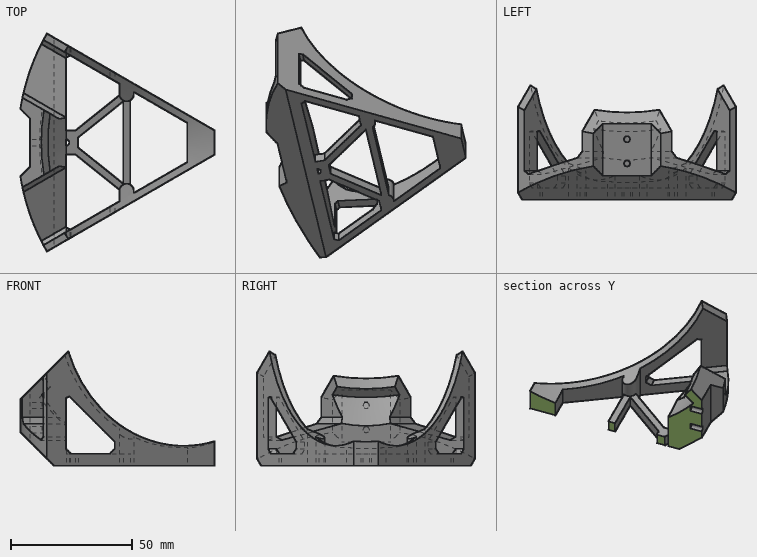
import cadquery as cq
import math

HALF_ANGLE = math.radians(30)
RIM_RADIUS = 90.0
NOSE_HALF_WIDTH = 5.0
WALL = 3.0
BLANK_HEIGHT = 60.0
OVERSIZE = 200.0

DISH_RADIUS = 60.0
DISH_X = -28.57
DISH_Z = 66.58

TOP_BEVEL_OFFSET = 15.0
BOTTOM_BEVEL_X = -75.0
TOP_BEVEL_X = DISH_X - DISH_Z - TOP_BEVEL_OFFSET * math.sqrt(2)

FLAT_X = -85.0
FLAT_HALF_WIDTH = 10.0
HOLE_DIAMETER = 2.5
SCREW_DEPTH = 5.0
SCREW_HEIGHTS = (15.0, 25.0)
BLOCK_BACK_X = -70.0
HOLLOW_DEPTH = 5.0
LIP_THICKNESS = 5.0

POCKET_FAR = 28.0
POCKET_WALL_Z = 10.0
POCKET_BLOCK_Z = 18.0
POCKET_CHAMFER = 2.0

NOSE_INNER_X = -20.0
CORNER_CHAMFER = 2.0
PLATE_HEIGHT = 5.0
STRUT_WIDTH = 3.0
COLUMN_X = -45.0
COLUMN_Y = 20.0
COLUMN_RADIUS = 3.0
HUB_SIZE = 10.0
WINDOW_END_X = -50.0
WINDOW_PEAK_Z = 30.0

TAN = math.tan(HALF_ANGLE)
COS = math.cos(HALF_ANGLE)
SIN = math.sin(HALF_ANGLE)
NOSE_X = -NOSE_HALF_WIDTH / TAN
SIDES = (1, -1)


def inner_wall_y(x):
    """Half width between the inner wall faces at a given X."""
    return -x * TAN - WALL / COS


def prism(points, height):
    return cq.Workplane("XY").polyline(points).close().extrude(height)


def across(points):
    """Outline in XZ extruded along Y through the whole part."""
    return cq.Workplane("XZ").polyline(points).close().extrude(OVERSIZE / 2, both=True)


def ball(radius):
    return cq.Workplane("XY").sphere(radius).translate((DISH_X, 0, DISH_Z))


def sector():
    tip_x = -RIM_RADIUS * COS
    tip_y = RIM_RADIUS * SIN
    return (
        cq.Workplane("XY")
        .moveTo(NOSE_X, -NOSE_HALF_WIDTH)
        .lineTo(NOSE_X, NOSE_HALF_WIDTH)
        .lineTo(tip_x, tip_y)
        .threePointArc((-RIM_RADIUS, 0), (tip_x, -tip_y))
        .close()
        .extrude(BLANK_HEIGHT)
    )


def bevelled_band():
    """Everything between the two 45 degree front planes."""
    meet_x = (BOTTOM_BEVEL_X + TOP_BEVEL_X) / 2
    return across([
        (0, 0),
        (BOTTOM_BEVEL_X, 0),
        (meet_x, meet_x - TOP_BEVEL_X),
        (TOP_BEVEL_X + BLANK_HEIGHT, BLANK_HEIGHT),
        (0, BLANK_HEIGHT),
    ])


def frame_opening():
    """Opening between the walls, from the block to the nose."""
    back_y = inner_wall_y(BLOCK_BACK_X)
    nose_y = inner_wall_y(NOSE_INNER_X)
    return prism([
        (BLOCK_BACK_X, -back_y),
        (BLOCK_BACK_X, back_y),
        (NOSE_INNER_X, nose_y),
        (NOSE_INNER_X, -nose_y),
    ], BLANK_HEIGHT)


def corner_gusset(side):
    """Small plate triangle in the acute corner between block and wall."""
    back_y = inner_wall_y(BLOCK_BACK_X)
    return prism([
        (BLOCK_BACK_X, side * back_y),
        (BLOCK_BACK_X, side * (back_y - CORNER_CHAMFER)),
        (BLOCK_BACK_X + CORNER_CHAMFER * COS, side * (back_y - CORNER_CHAMFER * SIN)),
    ], PLATE_HEIGHT)


def column(side):
    """Round-nosed column that grows out of a side wall."""
    root_y = inner_wall_y(COLUMN_X - COLUMN_RADIUS)
    length = root_y - COLUMN_Y
    post = cq.Workplane("XY").center(COLUMN_X, side * COLUMN_Y).circle(COLUMN_RADIUS).extrude(BLANK_HEIGHT)
    web = (
        cq.Workplane("XY")
        .center(COLUMN_X, side * (COLUMN_Y + length / 2))
        .rect(2 * COLUMN_RADIUS, length)
        .extrude(BLANK_HEIGHT)
    )
    return post.union(web)


def strut(start, end):
    dx = end[0] - start[0]
    dy = end[1] - start[1]
    return (
        cq.Workplane("XY")
        .rect(math.hypot(dx, dy), STRUT_WIDTH)
        .extrude(PLATE_HEIGHT)
        .rotate((0, 0, 0), (0, 0, 1), math.degrees(math.atan2(dy, dx)))
        .translate(((start[0] + end[0]) / 2, (start[1] + end[1]) / 2, 0))
    )


def bracing():
    """Flat hub with its hole, two diagonal struts and a cross strut."""
    hub_centre = (BLOCK_BACK_X, 0)
    plate = cq.Workplane("XY").center(*hub_centre).rect(HUB_SIZE, HUB_SIZE).extrude(PLATE_HEIGHT)
    for side in SIDES:
        plate = plate.union(strut(hub_centre, (COLUMN_X, side * COLUMN_Y)))
    plate = plate.union(strut((COLUMN_X, -COLUMN_Y), (COLUMN_X, COLUMN_Y)))
    hole = cq.Workplane("XY").center(*hub_centre).circle(HOLE_DIAMETER / 2).extrude(PLATE_HEIGHT)
    behind_block = cq.Workplane("XY").box(
        -BLOCK_BACK_X, OVERSIZE, PLATE_HEIGHT, centered=(False, True, False)
    ).translate((BLOCK_BACK_X, 0, 0))
    return plate.cut(hole).intersect(behind_block)


def wall_window():
    """Triangular window with clipped corners, cut straight through both walls."""
    clip = CORNER_CHAMFER
    slope_clip = clip * math.sqrt(0.5)
    end_z = WINDOW_PEAK_Z - (WINDOW_END_X - BLOCK_BACK_X)
    return across([
        (BLOCK_BACK_X, PLATE_HEIGHT + clip),
        (BLOCK_BACK_X, WINDOW_PEAK_Z - clip),
        (BLOCK_BACK_X + slope_clip, WINDOW_PEAK_Z - slope_clip),
        (WINDOW_END_X, end_z),
        (WINDOW_END_X, PLATE_HEIGHT + clip),
        (WINDOW_END_X - clip, PLATE_HEIGHT),
        (BLOCK_BACK_X + clip, PLATE_HEIGHT),
    ])


def front_region():
    """Space ahead of the block's back face."""
    return cq.Workplane("XY").box(
        OVERSIZE, OVERSIZE, OVERSIZE
    ).translate((BLOCK_BACK_X - OVERSIZE / 2, 0, 0))


def wing_pocket(side):
    """Pocket beside the block, running parallel to the wall on one side."""
    slope = math.atan2(POCKET_BLOCK_Z - POCKET_WALL_Z, POCKET_FAR - WALL)
    run = POCKET_CHAMFER * math.cos(slope)
    rise = POCKET_CHAMFER * math.sin(slope)
    outline = [
        (WALL, BLANK_HEIGHT),
        (WALL, POCKET_WALL_Z + POCKET_CHAMFER),
        (WALL + run, POCKET_WALL_Z + rise),
        (POCKET_FAR - run, POCKET_BLOCK_Z - rise),
        (POCKET_FAR, POCKET_BLOCK_Z + POCKET_CHAMFER),
        (POCKET_FAR, BLANK_HEIGHT),
    ]
    across_wall = cq.Plane(origin=(0, 0, 0), xDir=(-SIN, -side * COS, 0), normal=(-side * COS, SIN, 0))
    bar = cq.Workplane(across_wall).polyline(outline).close().extrude(OVERSIZE, both=True)
    return bar.intersect(front_region())


def block_hollow():
    """Deeper spherical hollow behind the lip, kept between the two walls."""
    lip_x = TOP_BEVEL_X + LIP_THICKNESS * math.sqrt(2)
    under_lip = across([(lip_x, 0), (0, 0), (0, -lip_x)])
    between_walls = prism([(0, 0), (-OVERSIZE, OVERSIZE * TAN), (-OVERSIZE, -OVERSIZE * TAN)], BLANK_HEIGHT)
    between_walls = between_walls.translate((-WALL / SIN, 0, 0))
    hollow = ball(DISH_RADIUS + HOLLOW_DEPTH).intersect(under_lip)
    return hollow.intersect(between_walls).intersect(front_region())


def flat_notch():
    run = RIM_RADIUS + FLAT_X
    wide = FLAT_HALF_WIDTH + run
    return prism([
        (FLAT_X, -FLAT_HALF_WIDTH),
        (FLAT_X, FLAT_HALF_WIDTH),
        (FLAT_X - run, wide),
        (FLAT_X - run, -wide),
    ], BLANK_HEIGHT)


def screw_hole(height):
    """Blind hole into the mounting flat."""
    return (
        cq.Workplane("YZ", origin=(FLAT_X, 0, height))
        .circle(HOLE_DIAMETER / 2)
        .extrude(SCREW_DEPTH)
    )


blank = sector()
body = blank.cut(frame_opening())
for side in SIDES:
    body = body.union(column(side).intersect(blank))
    body = body.union(corner_gusset(side))
body = body.intersect(bevelled_band())
body = body.cut(wall_window())
body = body.union(bracing())
body = body.cut(ball(DISH_RADIUS))
body = body.cut(flat_notch())
for side in SIDES:
    body = body.cut(wing_pocket(side))
body = body.cut(block_hollow())
for height in SCREW_HEIGHTS:
    body = body.cut(screw_hole(height))

result = body